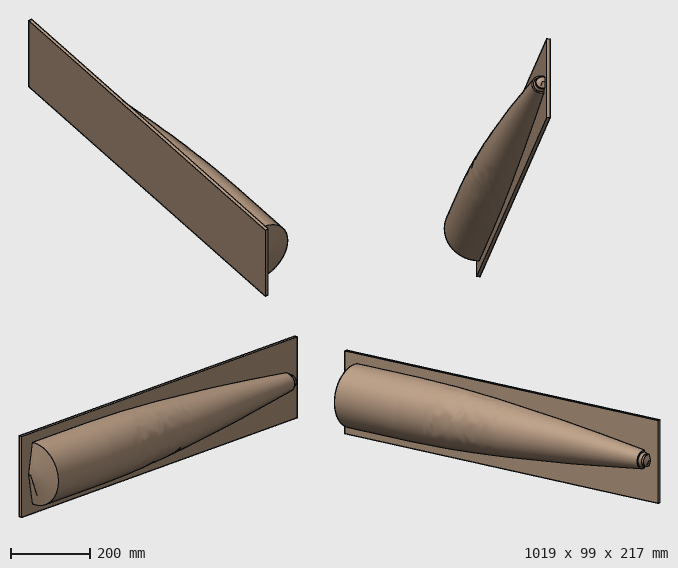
import cadquery as cq

plate_length = 1019.0
plate_height = 217.0
plate_thickness = 9.0

total_depth = 99.0
body_radius = 83.0
axis_y = total_depth - body_radius
nose_radius = 23.0
nose_middle_radius = 72.0
nose_start_slope = 0.13

stub_radius = 15.0
stub_flare_radius = 19.0

stub_tip_x = -486.0
stub_start_x = -481.0
stub_end_x = -475.0
nose_x = -467.0
nose_middle_x = 11.0
shoulder_x = 268.0
barrel_end_x = 470.0
end_cone_tip_x = 484.0


def half_outline():
    """Closed outline of the upper half of the body, in the XZ plane through its axis."""
    return (
        cq.Workplane("XZ", origin=(0, axis_y, 0))
        .moveTo(stub_tip_x, 0)
        .lineTo(stub_start_x, stub_radius)
        .lineTo(stub_end_x, stub_radius)
        .lineTo(nose_x, stub_flare_radius)
        .lineTo(nose_x, nose_radius)
        .spline(
            [(nose_middle_x, nose_middle_radius), (shoulder_x, body_radius)],
            tangents=[(1, nose_start_slope), (1, 0)],
            includeCurrent=True,
        )
        .lineTo(barrel_end_x, body_radius)
        .lineTo(end_cone_tip_x, 0)
        .close()
    )


def make_plate():
    return cq.Workplane("XY").box(
        plate_length, plate_thickness, plate_height, centered=(True, False, True)
    )


def make_half_round_body():
    """Half turn of the outline, on the side facing away from the plate."""
    return half_outline().revolve(180, (0, 0, 0), (-1, 0, 0))


def make_straight_skirt():
    """Straight wall that carries the half-round body down to the plate."""
    half_skirt = half_outline().extrude(axis_y)
    return half_skirt.union(half_skirt.mirror("XY"))


result = make_plate().union(make_straight_skirt()).union(make_half_round_body())